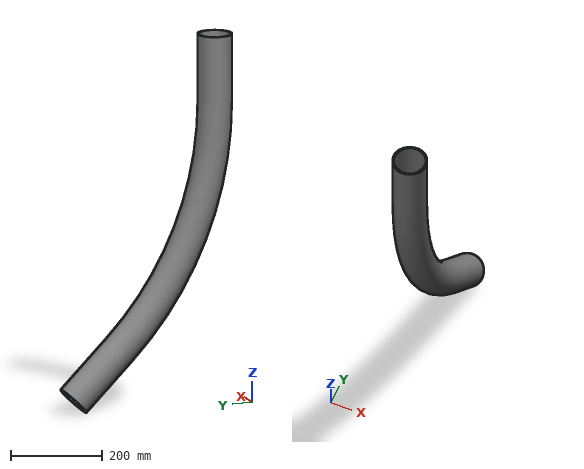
import cadquery as cq
import math

total_height = 826.0
outer_diameter = 76.0
inner_diameter = 70.0
leg_length = 152.0
bend_angle = 45.0

sine = math.sin(math.radians(bend_angle))
cosine = math.cos(math.radians(bend_angle))

leg_height = leg_length * (1 + cosine)
rim_height = outer_diameter / 2 * sine
bend_radius = (total_height - leg_height - rim_height) / sine


def bend_point(angle):
    """Centreline point (Y, Z) at an angle in degrees after the bend start, which is the origin."""
    turn = math.radians(angle)
    return bend_radius * (1 - math.cos(turn)), -bend_radius * math.sin(turn)


bend_end = bend_point(bend_angle)
lower_end = (bend_end[0] + leg_length * sine, bend_end[1] - leg_length * cosine)

centreline = (
    cq.Workplane("YZ")
    .moveTo(0, leg_length)
    .lineTo(0, 0)
    .threePointArc(bend_point(bend_angle / 2), bend_end)
    .lineTo(*lower_end)
)

result = (
    cq.Workplane("XY", origin=(0, 0, leg_length))
    .circle(outer_diameter / 2)
    .circle(inner_diameter / 2)
    .sweep(centreline)
)